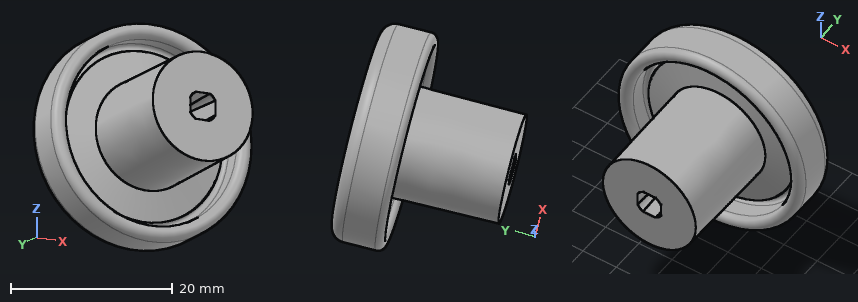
import cadquery as cq

head_radius = 14.0
total_length = 20.0
head_thickness = 7.0
head_front = total_length - head_thickness
back_edge_radius = 1.8

rim_width = 2.02
rim_round = rim_width / 2
recess_radius = head_radius - rim_width

floor_outer_radius = 11.0
floor_at_stem = head_front + 2.1
floor_at_groove = head_front + 2.9

groove_round = (recess_radius - floor_outer_radius) / 2
groove_centre = head_front + 3.15

stem_end_radius = 7.0
stem_base_radius = 7.15

socket_depth = 10.0
socket_mouth_width = 3.5
socket_floor_width = 3.15
socket_corner_radius = 2.0


def turned_body():
    """Revolve the half section of the stem, recess and head around Y."""
    groove_middle = recess_radius - groove_round
    rim_middle = recess_radius + rim_round
    rim_base = head_front + rim_round
    profile = (
        cq.Workplane("XY")
        .lineTo(stem_end_radius, 0)
        .lineTo(stem_base_radius, floor_at_stem)
        .lineTo(floor_outer_radius, floor_at_groove)
        .lineTo(floor_outer_radius, groove_centre)
        .threePointArc((groove_middle, groove_centre + groove_round), (recess_radius, groove_centre))
        .lineTo(recess_radius, rim_base)
        .threePointArc((rim_middle, head_front), (head_radius, rim_base))
        .lineTo(head_radius, total_length)
        .lineTo(0, total_length)
        .close()
    )
    return profile.revolve(360, (0, 0, 0), (0, 1, 0))


def tapered_socket():
    """Solid that cuts the socket, narrowing from the stem end to its floor."""
    square = (
        cq.Workplane("XZ")
        .rect(socket_mouth_width, socket_mouth_width)
        .workplane(offset=-socket_depth)
        .rect(socket_floor_width, socket_floor_width)
        .loft(ruled=True)
    )
    corner_limit = cq.Workplane("XZ").circle(socket_corner_radius).extrude(-socket_depth)
    return square.intersect(corner_limit)


body = turned_body().faces(">Y").edges().fillet(back_edge_radius)
result = body.cut(tapered_socket())